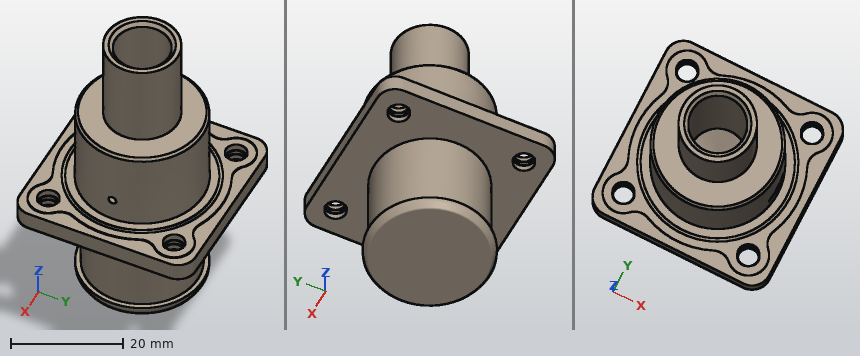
import cadquery as cq
import math

TOTAL_HEIGHT = 57.1

FLANGE_SIDE = 35.0
FLANGE_CORNER_RADIUS = 3.5
FLANGE_BOTTOM = 20.1
FLANGE_TOP = 23.7

PAD_TOP = 23.85
PAD_RADIUS = 16.0
PAD_EAR_RADIUS = 3.7
PAD_BLEND_RADIUS = 3.0

BEAD_OUTER_RADIUS = 14.4
BEAD_RADIUS = 0.315

BOLT_OFFSET = 12.5
BOLT_HOLE_DIAMETER = 4.0
BOLT_RING_DIAMETER = 3.7
BOLT_RING_HEIGHT = 0.95

BODY_TOP = 40.1
BODY_BASE_DIAMETER = 24.15
BODY_TOP_DIAMETER = 24.0
BODY_CHAMFER = 0.5

TUBE_DIAMETER = 14.0
BORE_DIAMETER = 10.5
BORE_CHAMFER = 0.75
BORE_FLOOR = 28.55
DRILL_POINT_ANGLE = 118.0

CROSS_HOLE_DIAMETER = 1.5

SPIGOT_DIAMETER = 22.0
LIP_DIAMETER = 24.0
LIP_TOP = 2.2
LIP_TAPER_START = 1.35
LIP_END_DIAMETER = 22.4
LIP_EDGE_RADIUS = 1.25
LIP_END_RADIUS = 0.35


def cylinder(diameter, bottom, top):
    return cq.Workplane("XY").workplane(offset=bottom).circle(diameter / 2).extrude(top - bottom)


def revolve_profile(points):
    """Turn a closed (radius, height) outline about the Z axis."""
    return cq.Workplane("XZ").polyline(points).close().revolve(360, (0, 0), (0, 1))


def make_flange():
    flange = cq.Workplane("XY").workplane(offset=FLANGE_BOTTOM).rect(FLANGE_SIDE, FLANGE_SIDE)
    return flange.extrude(FLANGE_TOP - FLANGE_BOTTOM).edges("|Z").fillet(FLANGE_CORNER_RADIUS)


def make_pad():
    pad = cylinder(2 * PAD_RADIUS, FLANGE_BOTTOM, PAD_TOP)
    ears = (
        cq.Workplane("XY").workplane(offset=FLANGE_BOTTOM)
        .rect(2 * BOLT_OFFSET, 2 * BOLT_OFFSET, forConstruction=True)
        .vertices().circle(PAD_EAR_RADIUS).extrude(PAD_TOP - FLANGE_BOTTOM)
    )
    return pad.union(ears).edges("|Z").fillet(PAD_BLEND_RADIUS)


def make_bead():
    center_radius = BEAD_OUTER_RADIUS - BEAD_RADIUS
    return (
        cq.Workplane("XZ").center(center_radius, PAD_TOP)
        .circle(BEAD_RADIUS)
        .revolve(360, (-center_radius, 0), (-center_radius, 1))
    )


def make_body():
    body = revolve_profile([
        (0, FLANGE_BOTTOM),
        (BODY_BASE_DIAMETER / 2, FLANGE_BOTTOM),
        (BODY_BASE_DIAMETER / 2, PAD_TOP),
        (BODY_TOP_DIAMETER / 2, BODY_TOP),
        (0, BODY_TOP),
    ])
    return body.faces(">Z").chamfer(BODY_CHAMFER)


def make_lip():
    lip = revolve_profile([
        (0, 0),
        (LIP_END_DIAMETER / 2, 0),
        (LIP_DIAMETER / 2, LIP_TAPER_START),
        (LIP_DIAMETER / 2, LIP_TOP),
        (0, LIP_TOP),
    ])
    taper_edge = cq.selectors.BoxSelector(
        (-LIP_DIAMETER, -LIP_DIAMETER, LIP_TAPER_START - LIP_END_RADIUS),
        (LIP_DIAMETER, LIP_DIAMETER, LIP_TAPER_START + LIP_END_RADIUS),
        boundingbox=True,
    )
    return lip.edges(taper_edge).fillet(LIP_EDGE_RADIUS).edges("<Z").fillet(LIP_END_RADIUS)


def make_bore():
    radius = BORE_DIAMETER / 2
    point_depth = radius / math.tan(math.radians(DRILL_POINT_ANGLE / 2))
    return revolve_profile([
        (0, BORE_FLOOR - point_depth),
        (radius, BORE_FLOOR),
        (radius, TOTAL_HEIGHT - BORE_CHAMFER),
        (radius + BORE_CHAMFER, TOTAL_HEIGHT),
        (0, TOTAL_HEIGHT),
    ])


def make_cross_hole():
    return (
        cq.Workplane("YZ").center(0, BORE_FLOOR)
        .circle(CROSS_HOLE_DIAMETER / 2).extrude(BODY_BASE_DIAMETER)
    )


def make_bolt_hole_cutter():
    depth = PAD_TOP - FLANGE_BOTTOM
    wide_depth = (depth - BOLT_RING_HEIGHT) / 2
    hole = cylinder(BOLT_RING_DIAMETER, FLANGE_BOTTOM, PAD_TOP)
    hole = hole.union(cylinder(BOLT_HOLE_DIAMETER, FLANGE_BOTTOM, FLANGE_BOTTOM + wide_depth))
    return hole.union(cylinder(BOLT_HOLE_DIAMETER, PAD_TOP - wide_depth, PAD_TOP))


spigot = cylinder(SPIGOT_DIAMETER, LIP_TAPER_START, FLANGE_TOP)
tube = cylinder(TUBE_DIAMETER, FLANGE_TOP, TOTAL_HEIGHT)

result = make_flange().union(make_pad()).union(make_bead())
result = result.union(spigot).union(make_lip()).union(make_body()).union(tube)
result = result.cut(make_bore()).cut(make_cross_hole())

bolt_hole = make_bolt_hole_cutter()
for x in (-BOLT_OFFSET, BOLT_OFFSET):
    for y in (-BOLT_OFFSET, BOLT_OFFSET):
        result = result.cut(bolt_hole.translate((x, y, 0)))